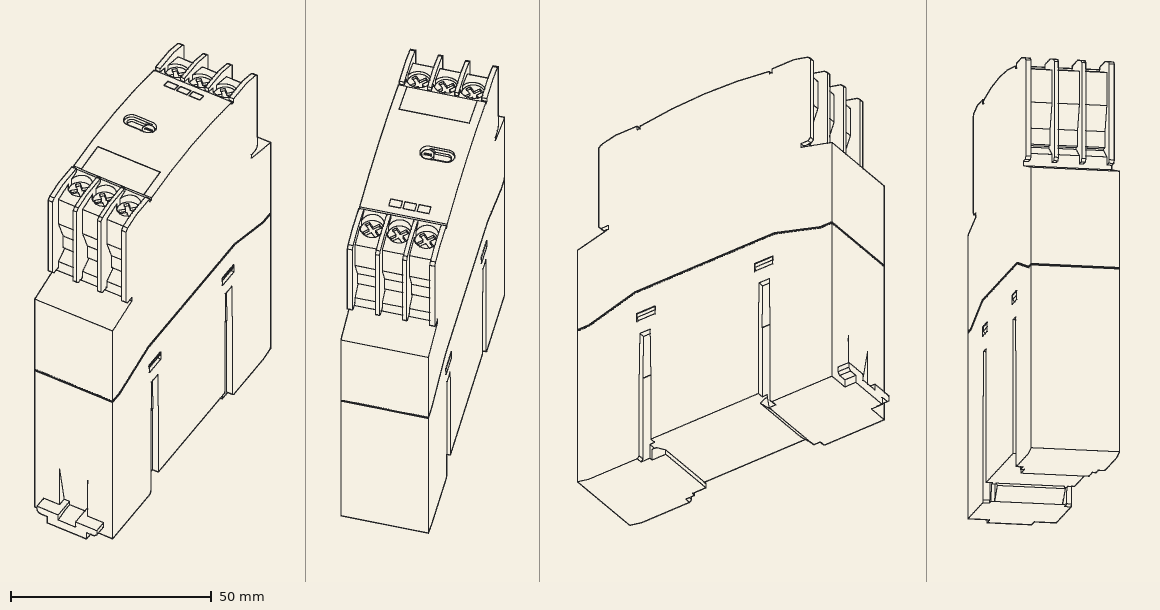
import cadquery as cq

WIDTH = 22.5
HALF_WIDTH = WIDTH / 2
HEIGHT = 104.2
TOTAL_DEPTH = 81.3
HALF_BODY = 39.0
HALF_HEAD = 32.4

SHOULDER_Z = 72.4
NECK_HALF = 29.5
NECK_Z = 74.9
HEAD_BOTTOM = 76.1
HEAD_CHAMFER = 0.7

FIN_CORNER = (31.6, 102.0)
FIN_SHOULDER_Z = 101.3
FIN_FLAT_START = 27.3
FIN_TOP = 103.1
GAP_OUTER = 20.6
GAP_INNER = 19.8
GAP_FLOOR = 101.9
COVER_EDGE_Z = 102.6

BAY_COUNT = 3
BAY_PITCH = 7.0
BAY_WIDTH = 5.9
BLOCK_EDGE_Z = 99.7
FUNNEL_TOP = 91.3
FUNNEL_BACK = 27.2
FUNNEL_LOW = 85.1
SILL_SLOT_TOP = 81.1
SILL_BACK = 25.5
SILL_BACK_Z = 80.7
SILL_FRONT_Z = 78.2

SCREW_Y = 23.8
SCREW_HEAD_D = 5.9
SCREW_HEAD_Z = 99.5
SCREW_HOLE_D = 6.1
SCREW_HOLE_FLOOR = 98.5
CROSS_LENGTH = 4.8
CROSS_WIDTH = 1.3
CROSS_DEPTH = 0.8

SEAM_HIGH_Z = 52.0
SEAM_LOW_Z = 47.8
SEAM_HIGH_HALF = 21.4
SEAM_LOW_HALF = 35.4
SEAM_WIDTH = 0.3
SEAM_DEPTH = 0.3

WINDOW_Y = 18.0
WINDOW_LENGTH = 5.6
WINDOW_TOP = 45.0
WINDOW_BOTTOM = 42.6
WINDOW_STEP_Z = 44.0
WINDOW_DEPTH = 1.3
WINDOW_LIP_DEPTH = 0.2
CHANNEL_Y = 18.2
CHANNEL_TOP_WIDTH = 3.1
CHANNEL_WIDTH = 3.5
CHANNEL_TOP = 38.5
CHANNEL_STEP_Z = 25.6
CHANNEL_UPPER_DEPTH = 1.6
CHANNEL_LOWER_DEPTH = 1.7
CHANNEL_FLARE = 0.6

RAIL_HALF = 17.9
RAIL_DRAFT = 0.6
RAIL_HEIGHT = 4.3
HOOK_GAP = 0.9
HOOK_TIP_Y = 13.8
HOOK_TIP_Z = 1.4
HOOK_FLAT_Y = 16.7
LATCH_TIP_Y = -15.2
HEEL_LENGTH = 3.5
HEEL_RISE = 0.7

CLIP_WIDTH = 17.3
CLIP_STEM_WIDTH = 11.4
CLIP_HEIGHT = 4.4
CLIP_STEP_Z = 2.2
CLIP_CHAMFER = 0.7
CLIP_NOTCH_WIDTH = 5.0
CLIP_NOTCH_FRONT_Z = 2.6
CLIP_NOTCH_BACK_Z = 3.2
FINGER_WIDTH = 8.1
FINGER_TOP = 16.9
FINGER_DEPTH = 2.3

LAMP_COUNT = 3
LAMP_PITCH = 3.6
LAMP_MID_X = -0.9
LAMP_Y = 16.9
LAMP_SIZE = (3.0, 2.0)
LABEL_WIDTH = 18.0
LABEL_BACK_Y = -11.7
MARK_DEPTH = 0.1
DIAL_X = -1.4
DIAL_Y = 0.2
DIAL_D = 4.0
DIAL_SLOT_END_X = -8.2
DIAL_SLOT_DEPTH = 0.8
DIAL_GROOVE_WIDTH = 2.3
DIAL_GROOVE_DEPTH = 1.7
DIAL_KNOB_D = 3.1
DIAL_KNOB_HEIGHT = 0.8
DIAL_DRIVE_LENGTH = 1.9
DIAL_DRIVE_WIDTH = 0.5
DIAL_DRIVE_DEPTH = 0.4


def slab(points, width, x_mid=0.0):
    """Extrude a closed (Y, Z) outline by a width centred on x_mid."""
    sketch = cq.Workplane("YZ").polyline(points).close()
    return sketch.extrude(width / 2, both=True).translate((x_mid, 0, 0))


def box(width, depth, y_mid, z_low, z_high, x_mid=0.0):
    """Box given by X width, Y depth and its Z limits."""
    centre = (x_mid, y_mid, (z_low + z_high) / 2)
    return cq.Workplane("XY").box(width, depth, z_high - z_low).translate(centre)


def mirror_y(points):
    return [(-y, z) for y, z in points]


def both_ends(shape):
    """The shape together with its mirror image at the other Y end."""
    return shape.union(shape.mirror("XZ"))


def both_sides(shape):
    """The shape together with its mirror image on the other X side."""
    return shape.union(shape.mirror("YZ"))


def housing():
    """Full-width body with a stepped head at both ends and a domed cover."""
    end = [
        (HALF_BODY, SHOULDER_Z),
        (NECK_HALF, NECK_Z),
        (NECK_HALF, HEAD_BOTTOM),
        (HALF_HEAD - HEAD_CHAMFER, HEAD_BOTTOM),
        (HALF_HEAD, HEAD_BOTTOM + HEAD_CHAMFER),
        (HALF_HEAD, FIN_SHOULDER_Z),
        FIN_CORNER,
        (FIN_FLAT_START, FIN_TOP),
        (GAP_OUTER, FIN_TOP),
        (GAP_OUTER, GAP_FLOOR),
        (GAP_INNER, GAP_FLOOR),
        (GAP_INNER, COVER_EDGE_Z),
    ]
    heel = [(HALF_BODY - HEEL_LENGTH, 0), (HALF_BODY, HEEL_RISE)]
    outline = cq.Workplane("YZ").polyline([(-HALF_BODY, 0)] + heel + end)
    outline = outline.threePointArc((0, HEIGHT), (-GAP_INNER, COVER_EDGE_Z))
    for y, z in mirror_y(end[-2::-1]):
        outline = outline.lineTo(y, z)
    return outline.close().extrude(HALF_WIDTH, both=True)


def bay_positions():
    return [(i - (BAY_COUNT - 1) / 2) * BAY_PITCH for i in range(BAY_COUNT)]


def terminal_bays():
    """Material removed between the fins, down to the terminal blocks."""
    outline = [
        (GAP_OUTER, HEIGHT),
        (GAP_OUTER, GAP_FLOOR),
        (NECK_HALF, BLOCK_EDGE_Z),
        (NECK_HALF, FUNNEL_TOP),
        (FUNNEL_BACK, FUNNEL_LOW),
        (FUNNEL_BACK, SILL_SLOT_TOP),
        (SILL_BACK, SILL_SLOT_TOP),
        (SILL_BACK, SILL_BACK_Z),
        (NECK_HALF, SILL_FRONT_Z),
        (NECK_HALF, NECK_Z),
        (HALF_BODY, SHOULDER_Z),
        (HALF_BODY, HEIGHT),
    ]
    bays = cq.Workplane("XY")
    for x in bay_positions():
        bays = bays.add(slab(outline, BAY_WIDTH, x))
    return both_ends(bays.combine())


def screw():
    """Screw head with a diagonal cross recess, centred on the Z axis."""
    height = SCREW_HEAD_Z - SCREW_HOLE_FLOOR
    head = cq.Workplane("XY").workplane(offset=SCREW_HOLE_FLOOR).circle(SCREW_HEAD_D / 2).extrude(height)
    for angle in (45, -45):
        bar = box(CROSS_LENGTH, CROSS_WIDTH, 0, SCREW_HEAD_Z - CROSS_DEPTH, SCREW_HEAD_Z)
        head = head.cut(bar.rotate((0, 0, 0), (0, 0, 1), angle))
    return head


def add_screws(body):
    height = GAP_FLOOR - SCREW_HOLE_FLOOR
    hole = cq.Workplane("XY").workplane(offset=SCREW_HOLE_FLOOR).circle(SCREW_HOLE_D / 2).extrude(height)
    hole = hole.intersect(box(BAY_WIDTH, SCREW_HOLE_D, 0, SCREW_HOLE_FLOOR, GAP_FLOOR))
    for x in bay_positions():
        body = body.cut(both_ends(hole.translate((x, SCREW_Y, 0))))
        body = body.union(both_ends(screw().translate((x, SCREW_Y, 0))))
    return body


def seam():
    """Thin groove running round all four walls, stepping up in the middle."""
    half_run = [(SEAM_HIGH_HALF, SEAM_HIGH_Z), (SEAM_LOW_HALF, SEAM_LOW_Z), (HALF_BODY, SEAM_LOW_Z)]
    upper = list(reversed(mirror_y(half_run))) + half_run
    lower = [(y, z - SEAM_WIDTH) for y, z in reversed(upper)]
    band = slab(upper + lower, WIDTH)
    core = box(WIDTH - 2 * SEAM_DEPTH, 2 * (HALF_BODY - SEAM_DEPTH), 0, 0, HEIGHT)
    return band.cut(core)


def side_windows():
    """Pockets with a shallow upper band and a back that leans inward below it."""
    section = [
        (-HALF_WIDTH, WINDOW_BOTTOM),
        (-HALF_WIDTH + WINDOW_DEPTH, WINDOW_BOTTOM),
        (-HALF_WIDTH + WINDOW_LIP_DEPTH, WINDOW_STEP_Z),
        (-HALF_WIDTH + WINDOW_LIP_DEPTH, WINDOW_TOP),
        (-HALF_WIDTH, WINDOW_TOP),
    ]
    window = cq.Workplane("XZ").polyline(section).close().extrude(WINDOW_LENGTH / 2, both=True)
    return both_sides(both_ends(window.translate((0, WINDOW_Y, 0))))


def side_channels():
    """Channels that taper above the step and run slightly deeper below it to the base."""
    inner = CHANNEL_Y - CHANNEL_WIDTH / 2
    outer = CHANNEL_Y + CHANNEL_WIDTH / 2
    half_top = CHANNEL_TOP_WIDTH / 2
    lower_outline = [
        (inner, 0),
        (outer + CHANNEL_FLARE, 0),
        (outer, CHANNEL_FLARE),
        (outer, CHANNEL_STEP_Z),
        (inner, CHANNEL_STEP_Z),
    ]
    upper_outline = [
        (inner, CHANNEL_STEP_Z),
        (outer, CHANNEL_STEP_Z),
        (CHANNEL_Y + half_top, CHANNEL_TOP),
        (CHANNEL_Y - half_top, CHANNEL_TOP),
    ]
    lower = slab(lower_outline, 2 * CHANNEL_LOWER_DEPTH, -HALF_WIDTH)
    upper = slab(upper_outline, 2 * CHANNEL_UPPER_DEPTH, -HALF_WIDTH)
    return both_sides(both_ends(lower.union(upper)))


def rail_recess():
    """Recess for the mounting rail, with a leaning wall behind the latch."""
    outline = [
        (RAIL_HALF, 0),
        (RAIL_HALF, RAIL_HEIGHT),
        (-RAIL_HALF, RAIL_HEIGHT),
        (-RAIL_HALF - RAIL_DRAFT, 0),
    ]
    return slab(outline, WIDTH)


def rail_hooks():
    """Fixed hook at the +Y end, sprung latch at the -Y end."""
    hook_top = RAIL_HEIGHT - HOOK_GAP
    hook_outline = [
        (RAIL_HALF, 0),
        (HOOK_TIP_Y, 0),
        (HOOK_TIP_Y, HOOK_TIP_Z),
        (HOOK_FLAT_Y, hook_top),
        (RAIL_HALF, hook_top),
    ]
    latch_outline = [
        (-RAIL_HALF - RAIL_DRAFT, 0),
        (LATCH_TIP_Y, hook_top),
        (-HOOK_FLAT_Y, RAIL_HEIGHT),
        (-RAIL_HALF, RAIL_HEIGHT),
    ]
    return slab(hook_outline, CLIP_WIDTH).union(slab(latch_outline, CLIP_WIDTH))


def release_clip():
    """T-shaped tab standing out of the -Y wall, notched for a screwdriver."""
    y_back = -HALF_BODY
    y_front = HALF_BODY - TOTAL_DEPTH
    y_mid = (y_back + y_front) / 2
    depth = y_back - y_front
    bar = box(CLIP_WIDTH, depth, y_mid, CLIP_STEP_Z, CLIP_HEIGHT)
    bar = bar.edges("|Y and <Z").chamfer(CLIP_CHAMFER)
    stem = box(CLIP_STEM_WIDTH, depth, y_mid, 0, CLIP_HEIGHT)
    notch_outline = [
        (y_back, CLIP_NOTCH_BACK_Z),
        (y_front, CLIP_NOTCH_FRONT_Z),
        (y_front, CLIP_HEIGHT),
        (y_back, CLIP_HEIGHT),
    ]
    return bar.union(stem).cut(slab(notch_outline, CLIP_NOTCH_WIDTH))


def finger_window():
    """Wedge pocket above the clip, with a well that meets the clip notch."""
    y_back = -HALF_BODY + FINGER_DEPTH
    wedge = slab(
        [(-HALF_BODY, FINGER_TOP), (y_back, CLIP_HEIGHT), (-HALF_BODY, CLIP_HEIGHT)],
        FINGER_WIDTH,
    )
    well = box(CLIP_NOTCH_WIDTH, FINGER_DEPTH, -HALF_BODY + FINGER_DEPTH / 2, CLIP_NOTCH_BACK_Z, CLIP_HEIGHT)
    return wedge.union(well)


def cover_core():
    """Everything lying more than the mark depth below the cover surface."""
    edge = COVER_EDGE_Z - MARK_DEPTH
    outline = cq.Workplane("YZ").moveTo(-GAP_INNER, 0).lineTo(GAP_INNER, 0).lineTo(GAP_INNER, edge)
    outline = outline.threePointArc((0, HEIGHT - MARK_DEPTH), (-GAP_INNER, edge))
    return outline.close().extrude(HALF_WIDTH, both=True)


def cover_marks():
    """Shallow lamp windows and label field that follow the domed cover."""
    label_depth = LABEL_BACK_Y + GAP_INNER
    areas = box(LABEL_WIDTH, label_depth, LABEL_BACK_Y - label_depth / 2, GAP_FLOOR, HEIGHT)
    for i in range(LAMP_COUNT):
        x = LAMP_MID_X + (i - (LAMP_COUNT - 1) / 2) * LAMP_PITCH
        areas = areas.union(box(*LAMP_SIZE, LAMP_Y, GAP_FLOOR, HEIGHT, x))
    return areas.cut(cover_core())


def dial_recess():
    """Slot beside the setting dial, with a deeper groove and a ring round the knob."""
    slot_length = DIAL_X + DIAL_D / 2 - DIAL_SLOT_END_X
    slot_x = DIAL_SLOT_END_X + slot_length / 2
    slot = cq.Workplane("XY").center(slot_x, DIAL_Y).slot2D(slot_length, DIAL_D).extrude(-DIAL_SLOT_DEPTH)
    groove = cq.Workplane("XY").center(slot_x, DIAL_Y)
    groove_length = slot_length - DIAL_D + DIAL_GROOVE_WIDTH
    groove = groove.slot2D(groove_length, DIAL_GROOVE_WIDTH).extrude(-DIAL_GROOVE_DEPTH)
    dial = cq.Workplane("XY").center(DIAL_X, DIAL_Y).circle(DIAL_D / 2).extrude(-DIAL_GROOVE_DEPTH)
    knob = cq.Workplane("XY").workplane(offset=-DIAL_GROOVE_DEPTH).center(DIAL_X, DIAL_Y)
    knob = knob.circle(DIAL_KNOB_D / 2).extrude(DIAL_KNOB_HEIGHT)
    knob_top = DIAL_KNOB_HEIGHT - DIAL_GROOVE_DEPTH
    drive = box(DIAL_DRIVE_LENGTH, DIAL_DRIVE_WIDTH, DIAL_Y, knob_top - DIAL_DRIVE_DEPTH, knob_top, DIAL_X)
    knob = knob.cut(drive)
    return slot.union(groove).union(dial).cut(knob).translate((0, 0, HEIGHT))


result = housing().cut(terminal_bays())
result = add_screws(result)
result = result.cut(seam()).cut(side_windows()).cut(side_channels())
result = result.cut(rail_recess()).union(rail_hooks())
result = result.cut(finger_window()).union(release_clip())
result = result.cut(cover_marks()).cut(dial_recess())